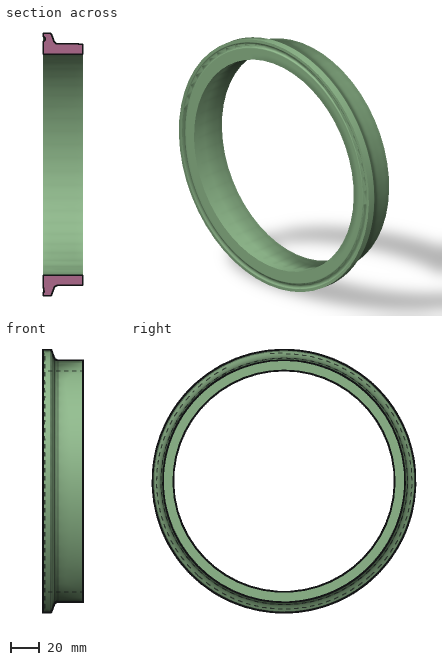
import cadquery as cq
import math

length = 28.0
flange_radius = 91.5
tube_radius = 84.2
bore_radius = 76.9

rim_width = 5.9
shoulder_angle = 20.0
rim_fillet = 1.19
root_fillet = 2.4

groove_radius = 87.3
groove_width = 3.3
groove_depth = 1.5
groove_lip_fillet = 0.7

selection_margin = 0.2


def revolve_about_x(profile):
    """Turn a profile in the XZ plane, with Z as radius, around the X axis."""
    return profile.revolve(360, (0, 0, 0), (1, 0, 0))


def circles_at(body, x, radius):
    """Select the circular edges centred on the X axis at one station and radius."""
    edges = [
        edge
        for edge in body.edges("%CIRCLE").vals()
        if abs(edge.Center().x - x) < selection_margin
        and abs(edge.radius() - radius) < selection_margin
    ]
    return body.newObject(edges)


shoulder_end = rim_width + (flange_radius - tube_radius) * math.tan(math.radians(shoulder_angle))
outline = (
    cq.Workplane("XZ")
    .moveTo(0, bore_radius)
    .lineTo(0, flange_radius)
    .lineTo(rim_width, flange_radius)
    .lineTo(shoulder_end, tube_radius)
    .lineTo(length, tube_radius)
    .lineTo(length, bore_radius)
    .close()
)
body = revolve_about_x(outline)
body = circles_at(body, rim_width, flange_radius).fillet(rim_fillet)
body = circles_at(body, shoulder_end, tube_radius).fillet(root_fillet)

groove_inner = groove_radius - groove_width / 2
groove_outer = groove_radius + groove_width / 2
groove = (
    cq.Workplane("XZ")
    .moveTo(0, groove_inner)
    .threePointArc((groove_depth, groove_radius), (0, groove_outer))
    .close()
)
body = body.cut(revolve_about_x(groove))
for lip_radius in (groove_inner, groove_outer):
    body = circles_at(body, 0, lip_radius).fillet(groove_lip_fillet)

result = body